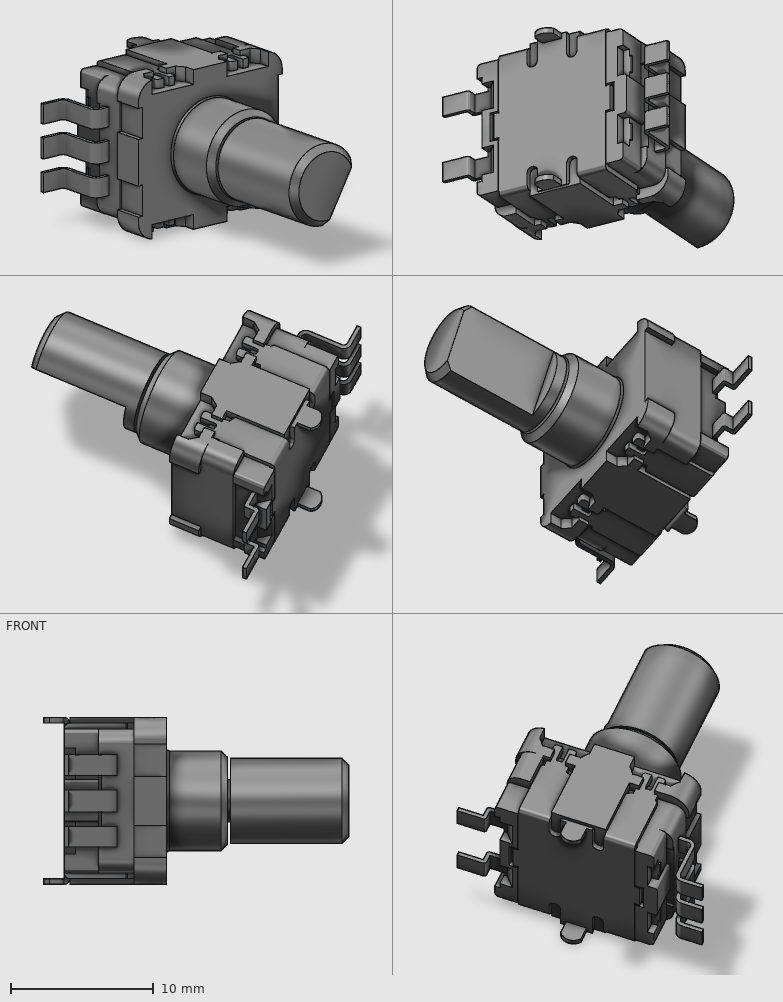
import cadquery as cq


TOTAL_LENGTH = 21.4
LUG_TIP = -1.43
STEP_X = 2.4
CAP_BACK = 4.9
CAP_FRONT = 7.2
BUSHING_END = 11.47
SHAFT_START = 11.66
FLAT_START = 12.48
SHAFT_END = LUG_TIP + TOTAL_LENGTH

CAP_HALF_Y = 6.55
CAP_HALF_Z = 11.7 / 2
CAP_CORNER = 1.5
CAP_SIDE_HALF = 3.98
CAP_RECESS_Y = 6.18
CAP_PAD_HALF = 1.71

BASE_HALF_Z = 5.05
BASE_PLUS_Y = 6.16
BASE_FRONT_PLUS_Y = 6.18
BASE_FRONT_MINUS_Y = -6.33
BASE_REAR_MINUS_Y = -5.86
BOSS_Y = -6.12
BOSS_HALF_Z = 1.5
BOSS_CORNER = 0.21
BASE_REAR_CORNER = 0.32
BASE_FRONT_CORNER = 1.0
BLOCK_INNER_Y = 4.45

SHEET = 0.4
ROUND_MARGIN = 0.002
COVER_HALF_Y = 4.39
RAIL_HALF_Y = 2.05
TAB_HALF_Y = 2.42 / 2
LUG_HALF_Y = 0.77
LUG_ROUND = 0.4
SLOT_END_Z = 3.83
EAR_Y = 4.8
EAR_HALF_Z = 0.96
EAR_POCKET_Y = 5.1
EAR_POCKET_HALF_Z = 1.1
STRIP_Z = BASE_HALF_Z + SHEET

CLIP_Y = 3.35
CLIP_SHOULDER_HALF = 0.83
CLIP_SHOULDER_X = 4.45
CLIP_INNER_SLANT = 0.24
CLIP_OUTER_SLANT = 0.13
CLIP_NECK_HALF = 0.58
PRONG_X = 5.71
PRONG_END = 6.42
PRONG_HALF = 0.85
PRONG_CORNER = 0.21
CLIP_SLOT_X = 5.14
CLIP_SLOT_HALF = 0.24
RECESS_FLOOR_Z = 4.77
RECESS_INNER_Y = 1.52
RECESS_OUTER_Y = 5.29
RECESS_CHAMFER_X = 0.6
RECESS_CHAMFER_Y = 0.45

BUSHING_R = 3.5
BUSHING_FOOT_R = 3.6
BUSHING_FOOT = 0.2
BUSHING_CHAMFER = 0.47
NECK_R = 1.5
SHAFT_R = 3.0
SHAFT_CHAMFER = 0.5
FLAT_DISTANCE = SHAFT_R / 2
FLAT_ANGLE = 60

LEAD = 0.3
LEAD_HALF = 0.73
MIDDLE_LEAD_HALF = 0.77
LEAD_PITCH = 5.03
LEAD_Z = LEAD_PITCH / 2
PLUS_LEAD_X = 0.81
PLUS_LEAD_BEND_Y = 6.85
PLUS_LEAD_END_Y = 9.0
PLUS_BEND_R = 0.2
MINUS_LEAD_X = 3.42
MINUS_LEAD_BEND_Y = -7.35
MINUS_LEAD_END_Y = -9.48
MINUS_BEND_R = 0.3

PLUS_POCKET_Y = 4.84
PLUS_POCKET_SLOPE_Y = 5.55
PLUS_POCKET_BOTTOM = 1.43
PLUS_POCKET_TOP = 3.5
PLUS_NOTCH_Y = 5.78
MINUS_POCKET_Y = -5.37
MINUS_POCKET_X = 0.81
MINUS_POCKET_TOP = 3.72
MINUS_STUB_Y = -6.0
MINUS_STUB_LENGTH = 0.24
MINUS_STUB_BOTTOM = 1.97
MINUS_STUB_TOP = 3.23
RELIEF_X = 2.63
RELIEF_Y = -5.56
RELIEF_HALF_Z = 3.23


def block(x0, x1, y0, y1, z0, z1):
    return cq.Workplane("XY").box(x1 - x0, y1 - y0, z1 - z0, centered=False).translate((x0, y0, z0))


def mirrored_z(solid):
    return solid.union(solid.mirror("XY"))


def four_times(solid):
    return mirrored_z(solid.union(solid.mirror("XZ")))


def make_base():
    rear = block(0, STEP_X, BASE_REAR_MINUS_Y, BASE_PLUS_Y, -BASE_HALF_Z, BASE_HALF_Z)
    rear = rear.edges("|X").fillet(BASE_REAR_CORNER)
    boss = block(0, STEP_X, BOSS_Y, 0, -BOSS_HALF_Z, BOSS_HALF_Z)
    boss = boss.edges("|X and <Y").fillet(BOSS_CORNER)
    front = block(STEP_X, CAP_BACK, BASE_FRONT_MINUS_Y, 0, -BASE_HALF_Z, BASE_HALF_Z)
    front = front.edges("|X and <Y").fillet(BASE_FRONT_CORNER)
    relief = block(STEP_X, RELIEF_X, BASE_FRONT_MINUS_Y, RELIEF_Y, -RELIEF_HALF_Z, RELIEF_HALF_Z)
    shoulder = block(STEP_X, CAP_BACK, 0, BASE_FRONT_PLUS_Y, -CAP_HALF_Z, CAP_HALF_Z)
    shoulder = shoulder.edges("|X and >Y").fillet(BASE_FRONT_CORNER)
    above_base = block(STEP_X, CAP_BACK, 0, BLOCK_INNER_Y, BASE_HALF_Z, CAP_HALF_Z)
    shoulder = shoulder.cut(mirrored_z(above_base))
    stub_end = MINUS_POCKET_X + MINUS_STUB_LENGTH
    stub = block(MINUS_POCKET_X, stub_end, MINUS_STUB_Y, 0, MINUS_STUB_BOTTOM, MINUS_STUB_TOP)
    rear = rear.union(boss).union(mirrored_z(stub))
    return rear.union(front.cut(relief)).union(shoulder)


def cut_base_back(base):
    cover_seat = block(0, SHEET, -BLOCK_INNER_Y, BLOCK_INNER_Y, -CAP_HALF_Z, CAP_HALF_Z)
    ear_pocket = block(0, SHEET, -EAR_POCKET_Y, EAR_POCKET_Y, -EAR_POCKET_HALF_Z, EAR_POCKET_HALF_Z)
    notch = block(0, STEP_X, PLUS_NOTCH_Y, BASE_PLUS_Y, -CAP_SIDE_HALF, CAP_SIDE_HALF)
    plus_pocket = (
        cq.Workplane("XY")
        .moveTo(0, PLUS_POCKET_Y)
        .lineTo(PLUS_LEAD_X, PLUS_POCKET_SLOPE_Y)
        .lineTo(PLUS_LEAD_X + LEAD, PLUS_POCKET_SLOPE_Y)
        .lineTo(PLUS_LEAD_X + LEAD, BASE_PLUS_Y)
        .lineTo(0, BASE_PLUS_Y)
        .close()
        .extrude(PLUS_POCKET_TOP - PLUS_POCKET_BOTTOM)
        .translate((0, 0, PLUS_POCKET_BOTTOM))
    )
    minus_pocket = block(0, MINUS_POCKET_X, BOSS_Y, MINUS_POCKET_Y, BOSS_HALF_Z, MINUS_POCKET_TOP)
    pockets = mirrored_z(plus_pocket).union(mirrored_z(minus_pocket))
    return base.cut(cover_seat).cut(ear_pocket).cut(notch).cut(pockets)


def make_cap():
    cap = block(CAP_BACK, CAP_FRONT, -CAP_HALF_Y, CAP_HALF_Y, -CAP_HALF_Z, CAP_HALF_Z)
    cap = cap.edges("|X").fillet(CAP_CORNER)
    plus_side = block(CAP_BACK, CAP_FRONT, CAP_RECESS_Y, CAP_HALF_Y, -CAP_SIDE_HALF, CAP_SIDE_HALF)
    minus_side = block(CAP_BACK, CAP_FRONT, -CAP_HALF_Y, -CAP_RECESS_Y, CAP_PAD_HALF, CAP_SIDE_HALF)
    cap = cap.cut(plus_side).cut(mirrored_z(minus_side))
    recess = (
        cq.Workplane("XY", origin=(0, 0, RECESS_FLOOR_Z))
        .moveTo(CAP_FRONT, RECESS_INNER_Y)
        .lineTo(PRONG_X + RECESS_CHAMFER_X, RECESS_INNER_Y)
        .lineTo(PRONG_X, RECESS_INNER_Y + RECESS_CHAMFER_Y)
        .lineTo(PRONG_X, RECESS_OUTER_Y - RECESS_CHAMFER_Y)
        .lineTo(PRONG_X + RECESS_CHAMFER_X, RECESS_OUTER_Y)
        .lineTo(CAP_FRONT, RECESS_OUTER_Y)
        .close()
        .extrude(CAP_HALF_Z - RECESS_FLOOR_Z)
    )
    channel = block(
        CAP_BACK, PRONG_X, CLIP_Y - CLIP_NECK_HALF, CLIP_Y + CLIP_NECK_HALF, BASE_HALF_Z, CAP_HALF_Z
    )
    rail = block(SHEET, CAP_BACK, -RAIL_HALF_Y, RAIL_HALF_Y, -CAP_HALF_Z, CAP_HALF_Z)
    return cap.cut(four_times(recess.union(channel))).union(rail)


def make_strip():
    """One cover strip on the top with its forked clip, on the +Y side."""
    strip = (
        cq.Workplane("XY", origin=(0, 0, BASE_HALF_Z))
        .moveTo(0, RAIL_HALF_Y)
        .lineTo(CLIP_SHOULDER_X - CLIP_INNER_SLANT, RAIL_HALF_Y)
        .lineTo(CLIP_SHOULDER_X, CLIP_Y - CLIP_SHOULDER_HALF)
        .lineTo(CAP_BACK, CLIP_Y - CLIP_SHOULDER_HALF)
        .lineTo(CAP_BACK, CLIP_Y + CLIP_SHOULDER_HALF)
        .lineTo(CLIP_SHOULDER_X, CLIP_Y + CLIP_SHOULDER_HALF)
        .lineTo(CLIP_SHOULDER_X - CLIP_OUTER_SLANT, COVER_HALF_Y)
        .lineTo(0, COVER_HALF_Y)
        .close()
        .extrude(SHEET)
        .edges("<X and >Z")
        .fillet(SHEET - ROUND_MARGIN)
    )
    neck = block(CAP_BACK, PRONG_X, CLIP_Y - CLIP_NECK_HALF, CLIP_Y + CLIP_NECK_HALF, BASE_HALF_Z, STRIP_Z)
    prongs = block(PRONG_X, PRONG_END, CLIP_Y - PRONG_HALF, CLIP_Y + PRONG_HALF, RECESS_FLOOR_Z, STRIP_Z)
    prongs = prongs.edges("|Z").fillet(PRONG_CORNER)
    slot = block(
        CLIP_SLOT_X, PRONG_END, CLIP_Y - CLIP_SLOT_HALF, CLIP_Y + CLIP_SLOT_HALF, RECESS_FLOOR_Z, STRIP_Z
    )
    slot = slot.edges("|Z and <X").fillet(CLIP_SLOT_HALF / 2)
    return strip.union(neck).union(prongs).cut(slot)


def make_lug():
    """Rear tab on the top, bent back into a lug with a rounded end."""
    tab = block(0, SHEET, -TAB_HALF_Y, TAB_HALF_Y, 0, CAP_HALF_Z)
    tab = tab.edges("|Y and >X and >Z").fillet(SHEET - ROUND_MARGIN)
    lug = (
        cq.Workplane("XY", origin=(0, 0, CAP_HALF_Z - SHEET))
        .moveTo(0, -LUG_HALF_Y)
        .lineTo(LUG_TIP + LUG_ROUND, -LUG_HALF_Y)
        .threePointArc((LUG_TIP, 0), (LUG_TIP + LUG_ROUND, LUG_HALF_Y))
        .lineTo(0, LUG_HALF_Y)
        .close()
        .extrude(SHEET)
    )
    return tab.union(lug)


def make_cover():
    plate = block(0, SHEET, -COVER_HALF_Y, COVER_HALF_Y, -BASE_HALF_Z, BASE_HALF_Z)
    ears = block(0, SHEET, -EAR_Y, EAR_Y, -EAR_HALF_Z, EAR_HALF_Z)
    slot_radius = (RAIL_HALF_Y - TAB_HALF_Y) / 2
    slot = block(0, SHEET, TAB_HALF_Y, RAIL_HALF_Y, SLOT_END_Z, CAP_HALF_Z)
    slot = slot.edges("|X and <Z").fillet(slot_radius - ROUND_MARGIN)
    plate = plate.union(ears).cut(four_times(slot))
    return plate.union(four_times(make_strip())).union(mirrored_z(make_lug()))


def make_shaft():
    profile = [
        (CAP_FRONT, 0),
        (CAP_FRONT, BUSHING_FOOT_R),
        (CAP_FRONT + BUSHING_FOOT, BUSHING_R),
        (BUSHING_END - BUSHING_CHAMFER, BUSHING_R),
        (BUSHING_END, BUSHING_R - BUSHING_CHAMFER),
        (BUSHING_END, NECK_R),
        (SHAFT_START, NECK_R),
        (SHAFT_START, SHAFT_R),
        (SHAFT_END - SHAFT_CHAMFER, SHAFT_R),
        (SHAFT_END, SHAFT_R - SHAFT_CHAMFER),
        (SHAFT_END, 0),
    ]
    shaft = cq.Workplane("XY").polyline(profile).close().revolve(360, (0, 0, 0), (1, 0, 0))
    flat = block(FLAT_START, SHAFT_END, -SHAFT_R, SHAFT_R, -SHAFT_R, -FLAT_DISTANCE)
    return shaft.cut(flat.rotate((0, 0, 0), (1, 0, 0), FLAT_ANGLE))


def make_plus_lead():
    lead = (
        cq.Workplane("XY")
        .moveTo(PLUS_LEAD_X, PLUS_POCKET_Y)
        .lineTo(PLUS_LEAD_X, PLUS_LEAD_BEND_Y)
        .lineTo(PLUS_BEND_R, PLUS_LEAD_BEND_Y)
        .radiusArc((0, PLUS_LEAD_BEND_Y + PLUS_BEND_R), PLUS_BEND_R)
        .lineTo(0, PLUS_LEAD_END_Y)
        .lineTo(LEAD, PLUS_LEAD_END_Y)
        .lineTo(LEAD, PLUS_LEAD_BEND_Y + LEAD)
        .lineTo(PLUS_LEAD_X + LEAD - PLUS_BEND_R, PLUS_LEAD_BEND_Y + LEAD)
        .radiusArc((PLUS_LEAD_X + LEAD, PLUS_LEAD_BEND_Y + LEAD - PLUS_BEND_R), PLUS_BEND_R)
        .lineTo(PLUS_LEAD_X + LEAD, PLUS_POCKET_Y)
        .close()
        .extrude(LEAD_HALF, both=True)
        .translate((0, 0, LEAD_Z))
    )
    root = block(
        PLUS_LEAD_X,
        PLUS_LEAD_X + LEAD,
        PLUS_POCKET_Y,
        PLUS_NOTCH_Y,
        PLUS_POCKET_BOTTOM,
        PLUS_POCKET_TOP,
    )
    return lead.union(root)


def make_minus_lead(half_width, z):
    outer_x = MINUS_LEAD_X + LEAD
    outer_y = MINUS_LEAD_BEND_Y - LEAD
    outer_r = MINUS_BEND_R + LEAD
    return (
        cq.Workplane("XY")
        .moveTo(MINUS_LEAD_X, 0)
        .lineTo(MINUS_LEAD_X, MINUS_LEAD_BEND_Y + MINUS_BEND_R)
        .radiusArc((MINUS_LEAD_X - MINUS_BEND_R, MINUS_LEAD_BEND_Y), MINUS_BEND_R)
        .lineTo(outer_r, MINUS_LEAD_BEND_Y)
        .radiusArc((0, MINUS_LEAD_BEND_Y - outer_r), -outer_r)
        .lineTo(0, MINUS_LEAD_END_Y)
        .lineTo(LEAD, MINUS_LEAD_END_Y)
        .lineTo(LEAD, outer_y - MINUS_BEND_R)
        .radiusArc((outer_r, outer_y), MINUS_BEND_R)
        .lineTo(outer_x - outer_r, outer_y)
        .radiusArc((outer_x, outer_y + outer_r), -outer_r)
        .lineTo(outer_x, 0)
        .close()
        .extrude(half_width, both=True)
        .translate((0, 0, z))
    )


result = cut_base_back(make_base()).union(make_cap()).union(make_cover()).union(make_shaft())
result = result.union(mirrored_z(make_plus_lead()))
result = result.union(mirrored_z(make_minus_lead(LEAD_HALF, LEAD_Z)))
result = result.union(make_minus_lead(MIDDLE_LEAD_HALF, 0))